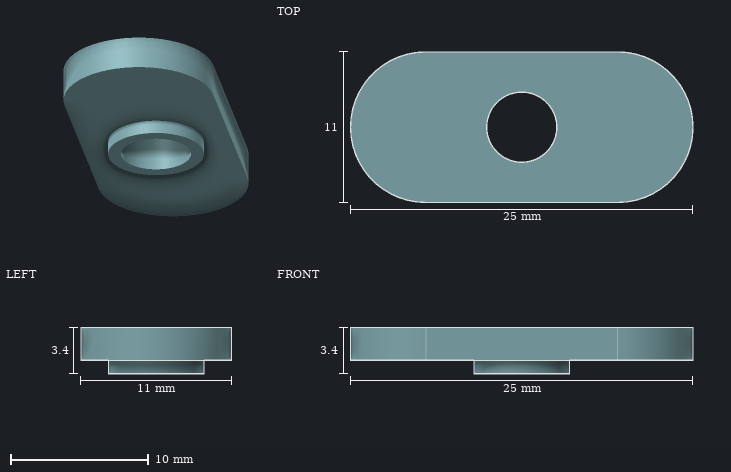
import cadquery as cq

plate_length = 25.0
plate_width = 11.0
plate_thickness = 2.4
boss_diameter = 7.0
boss_height = 1.0
hole_diameter = 5.1


def make_plate():
    """Flat plate with full-round ends, its underside on Z = 0."""
    return cq.Workplane("XY").slot2D(plate_length, plate_width).extrude(plate_thickness)


def add_boss(body):
    """Round boss centred under the plate."""
    boss = cq.Workplane("XY").circle(boss_diameter / 2).extrude(-boss_height)
    return body.union(boss)


def cut_hole(body):
    """Central hole through the plate and the boss."""
    return body.faces(">Z").workplane(origin=(0, 0, 0)).hole(hole_diameter)


result = cut_hole(add_boss(make_plate()))